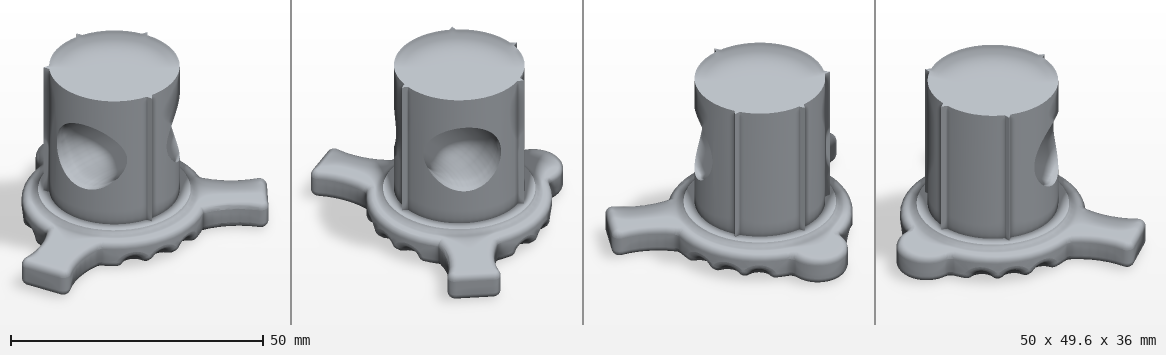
import cadquery as cq
import math

plate_thickness = 6.1
disc_radius = 18.4
edge_radius = 1.5
blend_radius = 1.5

first_arm_angle = 30
second_arm_angle = -90
arm_reach = 30.4
arm_root_distance = 16
waist_distance = 23.9
waist_half_width = 4.6
arm_side_radius = 16.5
tip_corner_radius = 1.55

lobe_angle = 150
lobe_distance = 18
lobe_radius = 6

collar_radius = 15
collar_height = 0.9
collar_foot_radius = 1.5
collar_sink = 0.5

post_radius = 12.95
post_top = 36
post_height = post_top - plate_thickness
rib_angles = (90, 150, 210, 330)
rib_tip_radius = 14.05
rib_half_width = 0.6

bore_radius = 7.5
bore_height = 22
bend_end_distance = 15
bend_half_angle = (first_arm_angle - second_arm_angle) / 2
bend_centre_angle = (first_arm_angle + second_arm_angle) / 2
bend_centre_distance = bend_end_distance / math.cos(math.radians(bend_half_angle))
bend_radius = bend_end_distance * math.tan(math.radians(bend_half_angle))

scallop_group_angles = (90, 210, 330)
scallop_pitch_angle = 20
scallop_radius = 2.5
scallop_lip_radius = 1.5
ball_seam_tilt = 45


def polar(radius, angle):
    """Plan position at a distance and an angle in degrees from the post axis."""
    return (radius * math.cos(math.radians(angle)), radius * math.sin(math.radians(angle)))


def turned(body, angle):
    """The body rotated about the post axis."""
    return body.rotate((0, 0, 0), (0, 0, 1), angle)


def arm_half_width(distance):
    """Half the width of an arm at a distance from the post axis."""
    offset = distance - waist_distance
    return waist_half_width + arm_side_radius - math.sqrt(arm_side_radius**2 - offset**2)


def arm(angle):
    root_half_width = arm_half_width(arm_root_distance)
    tip_half_width = arm_half_width(arm_reach)
    outline = (
        cq.Workplane("XY")
        .moveTo(arm_root_distance, -root_half_width)
        .threePointArc((waist_distance, -waist_half_width), (arm_reach, -tip_half_width))
        .lineTo(arm_reach, tip_half_width)
        .threePointArc((waist_distance, waist_half_width), (arm_root_distance, root_half_width))
        .close()
    )
    return turned(outline.extrude(plate_thickness), angle)


def round_upright_edge(body, radius, distance, angle):
    """Fillet the vertical plate edge nearest to a plan position."""
    place = (*polar(distance, angle), plate_thickness / 2)
    return body.edges("|Z").edges(cq.NearestToPointSelector(place)).fillet(radius)


def plate():
    body = cq.Workplane("XY").circle(disc_radius).extrude(plate_thickness)
    body = body.union(arm(first_arm_angle)).union(arm(second_arm_angle))
    lobe = cq.Workplane("XY").center(*polar(lobe_distance, lobe_angle)).circle(lobe_radius)
    body = body.union(lobe.extrude(plate_thickness))

    root_angle = math.degrees(math.asin(arm_half_width(disc_radius) / disc_radius))
    lobe_root_angle = math.degrees(math.asin(lobe_radius / disc_radius))
    inside_corner_angles = (
        first_arm_angle + root_angle,
        second_arm_angle - root_angle,
        second_arm_angle + root_angle,
        lobe_angle - lobe_root_angle,
        lobe_angle + lobe_root_angle,
    )
    for angle in inside_corner_angles:
        body = round_upright_edge(body, blend_radius, disc_radius, angle)

    tip_angle = math.degrees(math.atan(arm_half_width(arm_reach) / arm_reach))
    for arm_angle in (first_arm_angle, second_arm_angle):
        for side in (-tip_angle, tip_angle):
            body = round_upright_edge(body, tip_corner_radius, arm_reach, arm_angle + side)

    return body.faces("|Z").edges().fillet(edge_radius)


def cut_scallop(body, angle):
    """Cut one ball centred on the disc's lower edge and round its lip."""
    ball = cq.Workplane("XY").sphere(scallop_radius).rotate((0, 0, 0), (0, 1, 0), ball_seam_tilt)
    ball = turned(ball.translate((disc_radius, 0, 0)), angle)
    body = body.cut(ball)
    half_depth = scallop_radius / 2
    hollow = (*polar(disc_radius - half_depth, angle), half_depth)
    hollow_face = body.faces("%SPHERE").faces(cq.NearestToPointSelector(hollow))
    return hollow_face.edges().fillet(scallop_lip_radius)


def collar():
    foot_end = collar_radius + collar_foot_radius
    arc_centre_z = plate_thickness + collar_foot_radius
    collar_top = plate_thickness + collar_height
    arc_drop = arc_centre_z - collar_top
    top_radius = foot_end - math.sqrt(collar_foot_radius**2 - arc_drop**2)
    arc_diagonal = collar_foot_radius * math.sqrt(0.5)
    underside = plate_thickness - collar_sink
    profile = (
        cq.Workplane("XZ")
        .moveTo(0, underside)
        .lineTo(foot_end, underside)
        .lineTo(foot_end, plate_thickness)
        .threePointArc(
            (foot_end - arc_diagonal, arc_centre_z - arc_diagonal),
            (top_radius, collar_top),
        )
        .lineTo(0, collar_top)
        .close()
    )
    return profile.revolve(360, (0, 0), (0, 1))


def rib(angle):
    base_distance = math.sqrt(post_radius**2 - rib_half_width**2)
    outline = (
        cq.Workplane("XY", origin=(0, 0, plate_thickness))
        .lineTo(base_distance, -rib_half_width)
        .lineTo(rib_tip_radius, 0)
        .lineTo(base_distance, rib_half_width)
        .close()
    )
    return turned(outline.extrude(post_height), angle)


def post():
    body = cq.Workplane("XY", origin=(0, 0, plate_thickness)).circle(post_radius).extrude(post_height)
    for angle in rib_angles:
        body = body.union(rib(angle))
    bend_centre = cq.Vector(*polar(bend_centre_distance, bend_centre_angle), bore_height)
    passage = cq.Solid.makeTorus(bend_radius, bore_radius, bend_centre, cq.Vector(0, 0, 1))
    return body.cut(cq.Workplane(passage))


result = plate()
for group_angle in scallop_group_angles:
    for step in (-1, 0, 1):
        result = cut_scallop(result, group_angle + step * scallop_pitch_angle)
result = result.union(collar()).union(post())